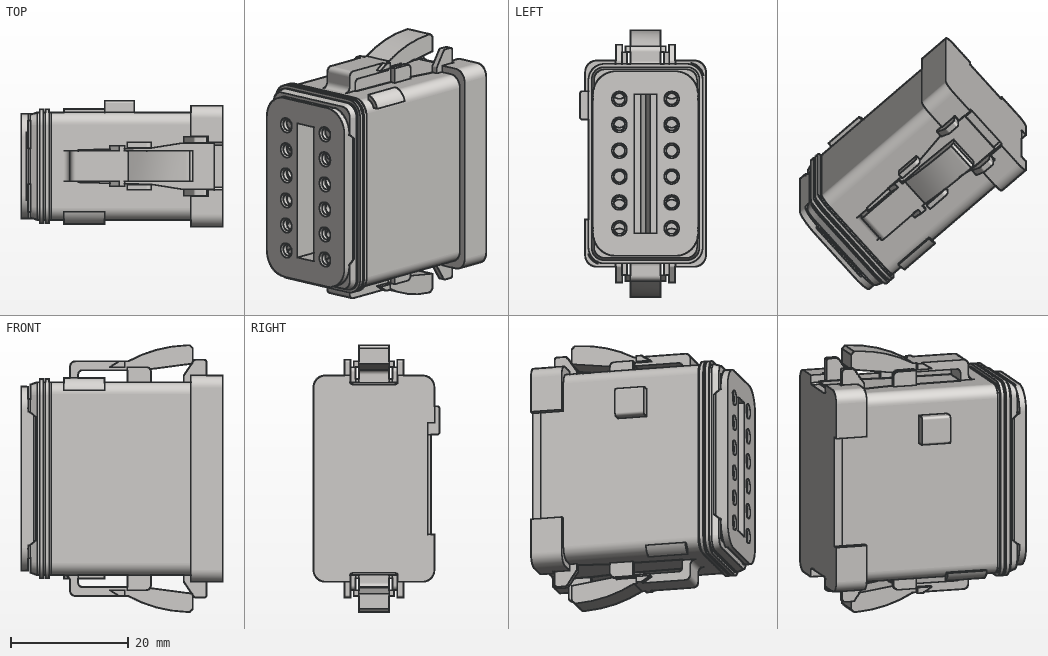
import cadquery as cq
import math


HOUSING_HALF_Y = 9.2
HOUSING_HALF_Z = 16.45
HOUSING_RADIUS = 2.05
FRONT_X = 1.6
SEAL_END_X = 5.15
HOUSING_END_X = 32.95

SEAL_RADIUS = 2.2
SEAL_BEVEL_LENGTH = 1.2
SEAL_BEVEL_RISE = 0.4
SEAL_WALL = 1.75
NOSE_RADIUS = SEAL_RADIUS - SEAL_WALL
RIB_HEIGHT = 0.55
RIB_WIDTH = 0.65
RIB_STARTS_X = (3.15, 4.15)

PLATE_THICKNESS = 1.2
PLATE_HALF_Y = 8.95
PLATE_HALF_Z = 15.75
PLATE_RADIUS = 3.9
RELIEF_WIDTH = 0.3
RELIEF_DEPTH = 0.35
RELIEF_TOP_HALF_Y = 6.05
RELIEF_FLOOR_HALF_Y = 4.5
TONGUE_HALF_Y = 3.05
TONGUE_HALF_Z = 13.6
TONGUE_END_X = 10.0
SLOT_HALF_Y = 1.9
SLOT_HALF_Z = 11.85
SLOT_DEPTH = 5.45
GROOVE_HALF_Y = 0.8
GROOVE_DEPTH = 2.75
TAB_INNER_Y = 7.8
TAB_END_X = 2.45
TAB_ROOT_HALF_Z = 11.45
TAB_SHOULDER_HALF_Z = 11.3
TAB_TIP_HALF_Z = 10.55

HOLE_ROWS = 6
HOLE_Y = 4.45
PIN_HOLE_PITCH = 4.4
PIN_HOLE_DIAMETER = 1.9
PIN_HOLE_MOUTH_DIAMETER = 2.55
CAVITY_PITCH = 4.9
CAVITY_DIAMETER = 2.45
CAVITY_DEPTH = 9.1

LATCH_HALF_Y = 2.6
LEG_FRONT_X = 8.33
LEG_BACK_X = 9.75
FOOT_FILLET = 1.0
ARM_TOP_Z = 20.0
ARM_UNDER_Z = 18.47
ARM_OUTER_RADIUS = 0.9
ARM_INNER_RADIUS = 0.75
LEVER_STEP_X = 18.1
LEVER_UNDER_Z = 19.0
LEVER_UNDER_LOW_X = 21.4
LEVER_UNDER_LOW_Z = 18.55
LEVER_TIP_UNDER_Z = 19.6
LEVER_ARC_START_X = 18.25
LEVER_ARC_MIDDLE = (21.48, 21.48)
LEVER_ARC_END_X = 28.2
LEVER_TOP_Z = 22.75
LEVER_TIP_X = 29.3
LEVER_TIP_CHAMFER = 0.55
EAR_START_X = 15.15
EAR_PEAK_X = 16.7
EAR_END_X = 17.65
EAR_HALF_Y = 3.45

ROOT_DEPTH = 0.25
POST_START_X = 18.1
POST_END_X = 22.15
POST_INNER_Y = 3.15
POST_OUTER_Y = 4.05
POST_TOP_Z = 19.0
POST_RADIUS = 0.8
FIN_START_X = 27.7
FIN_END_X = 31.6
FIN_INNER_Y = 3.95
FIN_OUTER_Y = 5.05
FIN_SLOPE_START_Z = 17.55
FIN_SLOPE_END_X = 29.55
FIN_TOP_Z = 20.3
FIN_RADIUS = 0.45

RECESS_DEPTH = 0.1
RECESS_FRONT_HALF_Y = 2.78
RECESS_FLARE_START_X = 22.15
RECESS_FLARE_HALF_Y = 3.1
RECESS_FLARE_END_X = 27.3
RECESS_BACK_HALF_Y = 3.9

CORNER_KEY_START_X = 7.3
SIDE_KEY_START_X = 14.25
SIDE_KEY_END_X = 19.3
SIDE_KEY_TOP_Y = 11.2
SIDE_KEY_LOW_Z = 7.5
SIDE_KEY_HIGH_Z = 12.38
SIDE_KEY_RADIUS = 0.45
CORNER_KEY_RADIUS = 2.8
UPPER_KEY_INSET = 0.65
LOWER_KEY_INSET = 1.0

CAP_HALF_Y = 10.35
CAP_HALF_Z = 17.6
CAP_RADIUS = 2.05
CAP_START_X = 28.95
CAP_END_X = 34.4
CAP_SLOT_HALF_Y = 4.05
CAP_SLOT_FLOOR_Z = 16.0
CAP_SLOT_CHAMFER_WIDTH = 0.45
CAP_SLOT_CHAMFER_HEIGHT = 0.27
FIN_NOTCH_HALF_Y = 5.15
FIN_NOTCH_END_X = 31.9
CAP_SIDE_NOTCH_HALF_Z = 9.5

SIDES = (-1, 1)


def rounded_bar(half_y, half_z, radius, start_x, end_x):
    """Bar along X with a rounded rectangular section."""
    bar = cq.Workplane("YZ", origin=(start_x, 0, 0)).rect(2 * half_y, 2 * half_z).extrude(end_x - start_x)
    return bar.edges("|X").fillet(radius)


def block(x_range, y_range, z_range):
    """Axis-aligned block between two limits on each axis."""
    sizes = [high - low for low, high in (x_range, y_range, z_range)]
    corner = cq.Vector(x_range[0], y_range[0], z_range[0])
    return cq.Workplane(cq.Solid.makeBox(*sizes, corner))


def side_profile(points, y_low, y_high):
    """Closed XZ outline extruded from y_low to y_high."""
    return cq.Workplane("XZ", origin=(0, y_high, 0)).polyline(points).close().extrude(y_high - y_low)


def hole_centres(pitch):
    """Centres of the two columns of contacts in the YZ plane."""
    middle = (HOLE_ROWS - 1) / 2
    return [(side * HOLE_Y, (row - middle) * pitch) for side in SIDES for row in range(HOLE_ROWS)]


def upside_down(shape):
    """The same shape on the -Z side of the part."""
    return shape.mirror("XY")


def wedge_tab(side):
    """Tapered tab on one Y side, flush with the edge of the plate."""
    points = [
        (0, -TAB_ROOT_HALF_Z),
        (PLATE_THICKNESS, -TAB_ROOT_HALF_Z),
        (FRONT_X, -TAB_SHOULDER_HALF_Z),
        (TAB_END_X, -TAB_TIP_HALF_Z),
        (TAB_END_X, TAB_TIP_HALF_Z),
        (FRONT_X, TAB_SHOULDER_HALF_Z),
        (PLATE_THICKNESS, TAB_ROOT_HALF_Z),
        (0, TAB_ROOT_HALF_Z),
    ]
    y_low, y_high = sorted((side * TAB_INNER_Y, side * PLATE_HALF_Y))
    return side_profile(points, y_low, y_high)


def wedge_tongue():
    """Central tongue that goes into the housing."""
    return block((0, TONGUE_END_X), (-TONGUE_HALF_Y, TONGUE_HALF_Y), (-TONGUE_HALF_Z, TONGUE_HALF_Z))


def wedge_slot():
    """Long slot with a V-groove along the middle of its floor."""
    slot = block((0, SLOT_DEPTH), (-SLOT_HALF_Y, SLOT_HALF_Y), (-SLOT_HALF_Z, SLOT_HALF_Z))
    groove = (
        cq.Workplane("XY", origin=(0, 0, -SLOT_HALF_Z))
        .polyline([(SLOT_DEPTH, -GROOVE_HALF_Y), (SLOT_DEPTH + GROOVE_DEPTH, 0), (SLOT_DEPTH, GROOVE_HALF_Y)])
        .close()
        .extrude(2 * SLOT_HALF_Z)
    )
    return slot.union(groove)


def plate_relief():
    """Relief with sloped ends in the rear of the plate's upper edge."""
    floor_z = PLATE_HALF_Z - RELIEF_DEPTH
    outline = [
        (-RELIEF_TOP_HALF_Y, PLATE_HALF_Z),
        (-RELIEF_FLOOR_HALF_Y, floor_z),
        (RELIEF_FLOOR_HALF_Y, floor_z),
        (RELIEF_TOP_HALF_Y, PLATE_HALF_Z),
    ]
    start = cq.Workplane("YZ", origin=(PLATE_THICKNESS - RELIEF_WIDTH, 0, 0))
    return start.polyline(outline).close().extrude(RELIEF_WIDTH)


def make_wedge():
    wedge = rounded_bar(PLATE_HALF_Y, PLATE_HALF_Z, PLATE_RADIUS, 0, PLATE_THICKNESS)
    relief = plate_relief()
    wedge = wedge.cut(relief).cut(upside_down(relief))
    wedge = wedge.union(wedge_tongue())
    for side in SIDES:
        wedge = wedge.union(wedge_tab(side))
    wedge = wedge.cut(wedge_slot())
    mouth_depth = (PIN_HOLE_MOUTH_DIAMETER - PIN_HOLE_DIAMETER) / 2
    along_x = cq.Vector(1, 0, 0)
    for y, z in hole_centres(PIN_HOLE_PITCH):
        mouth_centre = cq.Vector(0, y, z)
        hole = cq.Solid.makeCylinder(PIN_HOLE_DIAMETER / 2, PLATE_THICKNESS, mouth_centre, along_x)
        mouth = cq.Solid.makeCone(
            PIN_HOLE_MOUTH_DIAMETER / 2, PIN_HOLE_DIAMETER / 2, mouth_depth, mouth_centre, along_x
        )
        wedge = wedge.cut(cq.Workplane(hole)).cut(cq.Workplane(mouth))
    return wedge


def housing_nose():
    """Front of the housing, which fills the inside of the seal."""
    return rounded_bar(
        HOUSING_HALF_Y - SEAL_WALL, HOUSING_HALF_Z - SEAL_WALL, NOSE_RADIUS, FRONT_X, SEAL_END_X
    )


def make_seal():
    bevel_end_x = FRONT_X + SEAL_BEVEL_LENGTH
    seal = rounded_bar(HOUSING_HALF_Y, HOUSING_HALF_Z, SEAL_RADIUS, bevel_end_x, SEAL_END_X)
    front_sketch = (
        cq.Sketch()
        .rect(2 * (HOUSING_HALF_Y - SEAL_BEVEL_RISE), 2 * (HOUSING_HALF_Z - SEAL_BEVEL_RISE))
        .vertices()
        .fillet(SEAL_RADIUS - SEAL_BEVEL_RISE)
    )
    back_sketch = cq.Sketch().rect(2 * HOUSING_HALF_Y, 2 * HOUSING_HALF_Z).vertices().fillet(SEAL_RADIUS)
    bevel = (
        cq.Workplane("YZ", origin=(FRONT_X, 0, 0))
        .placeSketch(front_sketch, back_sketch.moved(cq.Location(cq.Vector(0, 0, SEAL_BEVEL_LENGTH))))
        .loft()
    )
    seal = seal.union(bevel)
    for start_x in RIB_STARTS_X:
        rib = rounded_bar(
            HOUSING_HALF_Y + RIB_HEIGHT,
            HOUSING_HALF_Z + RIB_HEIGHT,
            SEAL_RADIUS + RIB_HEIGHT,
            start_x,
            start_x + RIB_WIDTH,
        )
        seal = seal.union(rib)
    seal = seal.cut(housing_nose())
    for side in SIDES:
        seal = seal.cut(wedge_tab(side))
    return seal


def make_latch():
    """Upper latch: leg with a filleted foot, flat arm with two ears, and a curved lever."""
    root_z = HOUSING_HALF_Z - ROOT_DEPTH
    arm = (
        cq.Workplane("XZ", origin=(0, LATCH_HALF_Y, 0))
        .moveTo(LEG_FRONT_X, root_z)
        .lineTo(LEG_FRONT_X, ARM_TOP_Z)
        .lineTo(LEVER_ARC_START_X, ARM_TOP_Z)
        .threePointArc(LEVER_ARC_MIDDLE, (LEVER_ARC_END_X, LEVER_TOP_Z))
        .lineTo(LEVER_TIP_X - LEVER_TIP_CHAMFER, LEVER_TOP_Z)
        .lineTo(LEVER_TIP_X, LEVER_TOP_Z - LEVER_TIP_CHAMFER)
        .lineTo(LEVER_TIP_X, LEVER_TIP_UNDER_Z)
        .lineTo(LEVER_UNDER_LOW_X, LEVER_UNDER_LOW_Z)
        .lineTo(LEVER_UNDER_LOW_X, LEVER_UNDER_Z)
        .lineTo(LEVER_STEP_X, LEVER_UNDER_Z)
        .lineTo(LEVER_STEP_X, ARM_UNDER_Z)
        .lineTo(LEG_BACK_X, ARM_UNDER_Z)
        .lineTo(LEG_BACK_X, root_z)
        .close()
        .extrude(2 * LATCH_HALF_Y)
    )
    outer_bend = cq.selectors.NearestToPointSelector((LEG_FRONT_X, 0, ARM_TOP_Z))
    arm = arm.edges(outer_bend).fillet(ARM_OUTER_RADIUS)
    inner_bend = cq.selectors.NearestToPointSelector((LEG_BACK_X, 0, ARM_UNDER_Z))
    arm = arm.edges(inner_bend).fillet(ARM_INNER_RADIUS)
    fillet_tangent_z = HOUSING_HALF_Z + FOOT_FILLET
    fillet_start_x = LEG_FRONT_X - FOOT_FILLET
    fillet_middle_offset = FOOT_FILLET * (1 - math.sqrt(0.5))
    foot = (
        cq.Workplane("XZ", origin=(0, LATCH_HALF_Y, 0))
        .moveTo(fillet_start_x, HOUSING_HALF_Z)
        .threePointArc(
            (LEG_FRONT_X - fillet_middle_offset, HOUSING_HALF_Z + fillet_middle_offset),
            (LEG_FRONT_X, fillet_tangent_z),
        )
        .lineTo(LEG_FRONT_X, root_z)
        .lineTo(fillet_start_x, root_z)
        .close()
        .extrude(2 * LATCH_HALF_Y)
    )
    ears = side_profile(
        [
            (EAR_START_X, LEVER_UNDER_Z),
            (EAR_PEAK_X, ARM_TOP_Z),
            (EAR_END_X, ARM_TOP_Z),
            (EAR_END_X, LEVER_UNDER_Z),
        ],
        -EAR_HALF_Y,
        EAR_HALF_Y,
    )
    return arm.union(foot).union(ears)


def make_guards():
    """Two posts beside the lever and two hook-shaped fins beside its tip."""
    root_z = HOUSING_HALF_Z - ROOT_DEPTH
    post = block((POST_START_X, POST_END_X), (POST_INNER_Y, POST_OUTER_Y), (root_z, POST_TOP_Z))
    post = post.edges("|Y and >X and >Z").fillet(POST_RADIUS)
    fin = side_profile(
        [
            (FIN_START_X, root_z),
            (FIN_START_X, FIN_SLOPE_START_Z),
            (FIN_SLOPE_END_X, FIN_TOP_Z),
            (FIN_END_X, FIN_TOP_Z),
            (FIN_END_X, root_z),
        ],
        FIN_INNER_Y,
        FIN_OUTER_Y,
    )
    fin = fin.edges("|Y and (not <Z)").fillet(FIN_RADIUS)
    pair = post.union(fin)
    return pair.union(pair.mirror("XZ"))


def make_latch_recess():
    """Shallow recess that flares towards the back below the latch."""
    right_edge = [
        (LEG_BACK_X, RECESS_FRONT_HALF_Y),
        (RECESS_FLARE_START_X, RECESS_FLARE_HALF_Y),
        (RECESS_FLARE_END_X, RECESS_BACK_HALF_Y),
        (HOUSING_END_X, RECESS_BACK_HALF_Y),
    ]
    left_edge = [(x, -y) for x, y in reversed(right_edge)]
    floor = cq.Workplane("XY", origin=(0, 0, HOUSING_HALF_Z - RECESS_DEPTH))
    return floor.polyline(right_edge + left_edge).close().extrude(RECESS_DEPTH)


def corner_key(inset, y_side, z_side):
    """Rounded key on one long corner of the housing, concentric with the corner."""
    centre_y = y_side * (HOUSING_HALF_Y - HOUSING_RADIUS)
    centre_z = z_side * (HOUSING_HALF_Z - HOUSING_RADIUS)
    length = SIDE_KEY_START_X - CORNER_KEY_START_X
    centre = cq.Workplane("YZ", origin=(CORNER_KEY_START_X, centre_y, centre_z))
    cylinder = centre.circle(CORNER_KEY_RADIUS).extrude(length)
    middle = (inset + CORNER_KEY_RADIUS) / 2
    size = CORNER_KEY_RADIUS - inset
    quadrant = centre.center(y_side * middle, z_side * middle).rect(size, size).extrude(length)
    return cylinder.intersect(quadrant)


def side_key():
    key = block(
        (SIDE_KEY_START_X, SIDE_KEY_END_X),
        (HOUSING_HALF_Y - ROOT_DEPTH, SIDE_KEY_TOP_Y),
        (SIDE_KEY_LOW_Z, SIDE_KEY_HIGH_Z),
    )
    return key.edges("|X and >Y").fillet(SIDE_KEY_RADIUS)


def make_housing():
    housing = rounded_bar(HOUSING_HALF_Y, HOUSING_HALF_Z, HOUSING_RADIUS, SEAL_END_X, HOUSING_END_X)
    housing = housing.union(housing_nose())
    recess = make_latch_recess()
    housing = housing.cut(recess).cut(upside_down(recess))
    for feature in (make_latch(), make_guards()):
        housing = housing.union(feature).union(upside_down(feature))
    housing = housing.union(corner_key(UPPER_KEY_INSET, -1, 1))
    housing = housing.union(corner_key(LOWER_KEY_INSET, 1, -1))
    housing = housing.union(side_key())
    housing = housing.cut(wedge_tongue())
    cavities = (
        cq.Workplane("YZ", origin=(FRONT_X, 0, 0))
        .pushPoints(hole_centres(CAVITY_PITCH))
        .circle(CAVITY_DIAMETER / 2)
        .extrude(CAVITY_DEPTH)
    )
    return housing.cut(cavities)


def cap_slot():
    """Slot over the latch with sloped bottom corners, wider where it clears the fins."""
    top_half = [
        (CAP_SLOT_HALF_Y - CAP_SLOT_CHAMFER_WIDTH, CAP_SLOT_FLOOR_Z),
        (CAP_SLOT_HALF_Y, CAP_SLOT_FLOOR_Z + CAP_SLOT_CHAMFER_HEIGHT),
        (CAP_SLOT_HALF_Y, CAP_HALF_Z),
    ]
    outline = top_half + [(-y, z) for y, z in reversed(top_half)]
    start = cq.Workplane("YZ", origin=(CAP_START_X, 0, 0))
    slot = start.polyline(outline).close().extrude(CAP_END_X - CAP_START_X)
    fin_notch = block(
        (CAP_START_X, FIN_NOTCH_END_X), (-FIN_NOTCH_HALF_Y, FIN_NOTCH_HALF_Y), (HOUSING_HALF_Z, CAP_HALF_Z)
    )
    return slot.union(fin_notch)


def make_end_cap():
    cap = rounded_bar(CAP_HALF_Y, CAP_HALF_Z, CAP_RADIUS, CAP_START_X, CAP_END_X)
    cap = cap.cut(rounded_bar(HOUSING_HALF_Y, HOUSING_HALF_Z, HOUSING_RADIUS, CAP_START_X, HOUSING_END_X))
    slot = cap_slot()
    cap = cap.cut(slot).cut(upside_down(slot))
    side_notch = block(
        (CAP_START_X, CAP_END_X),
        (HOUSING_HALF_Y, CAP_HALF_Y),
        (-CAP_SIDE_NOTCH_HALF_Z, CAP_SIDE_NOTCH_HALF_Z),
    )
    return cap.cut(side_notch)


wedge = make_wedge()
seal = make_seal()
housing = make_housing()
end_cap = make_end_cap()

result = cq.Compound.makeCompound([body.solids().val() for body in (wedge, seal, housing, end_cap)])